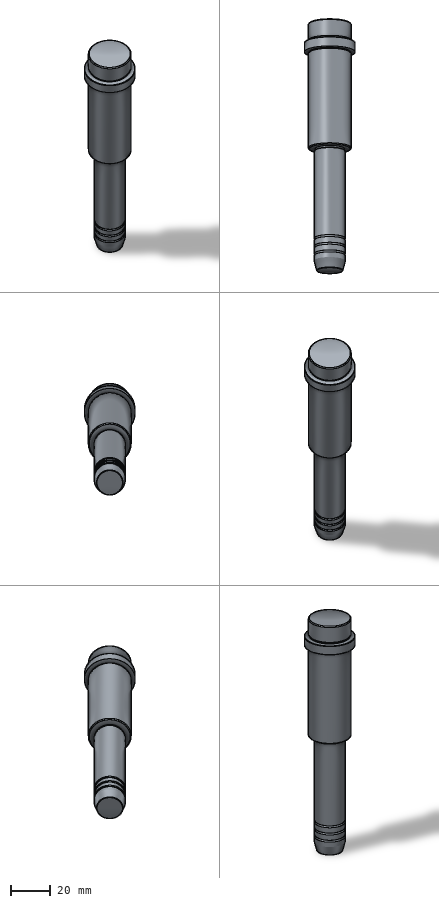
import cadquery as cq

length = 130.0
body_diameter = 22.0
body_radius = body_diameter / 2
stem_diameter = 16.0
stem_radius = stem_diameter / 2
edge_chamfer = 0.5

collar_radius = 13.0
collar_bottom = 115.0
collar_height = 5.0
collar_top = collar_bottom + collar_height
collar_chamfer = 0.3

undercut_depth = 0.6
lower_undercut_height = 0.8
upper_undercut_height = 1.2
body_bottom = 64.1
neck_depth = 0.5
neck_radius = stem_radius - neck_depth
neck_height = 1.3
neck_taper = 0.4

tip_radius = 6.8
taper_height = 5.1
tip_chamfer = 0.3

groove_count = 3
lowest_groove = 8.5
groove_pitch = 4.0
groove_width = 1.0
groove_depth = 0.4


def make_pin():
    """Revolve the stem, body and collar as one half profile."""
    undercut_radius = body_radius - undercut_depth
    neck_bottom = body_bottom - neck_height
    profile = [
        (0, 0),
        (tip_radius - tip_chamfer, 0),
        (tip_radius, tip_chamfer),
        (stem_radius, taper_height),
        (stem_radius, neck_bottom),
        (neck_radius, neck_bottom + neck_taper),
        (neck_radius, body_bottom),
        (body_radius - edge_chamfer, body_bottom),
        (body_radius, body_bottom + edge_chamfer),
        (body_radius, collar_bottom - lower_undercut_height),
        (undercut_radius, collar_bottom - lower_undercut_height / 2),
        (undercut_radius, collar_bottom),
        (collar_radius, collar_bottom),
        (collar_radius, collar_top - collar_chamfer),
        (collar_radius - collar_chamfer, collar_top),
        (undercut_radius, collar_top),
        (undercut_radius, collar_top + upper_undercut_height / 2),
        (body_radius, collar_top + upper_undercut_height),
        (body_radius, length - edge_chamfer),
        (body_radius - edge_chamfer, length),
        (0, length),
    ]
    return cq.Workplane("XZ").polyline(profile).close().revolve(360, (0, 0), (0, 1))


def make_groove(center_z):
    """Ring that cuts one groove with an arc-shaped floor."""
    half_width = groove_width / 2
    outer_radius = stem_radius + groove_depth
    return (
        cq.Workplane("XZ")
        .moveTo(outer_radius, center_z - half_width)
        .lineTo(stem_radius, center_z - half_width)
        .threePointArc(
            (stem_radius - groove_depth, center_z),
            (stem_radius, center_z + half_width),
        )
        .lineTo(outer_radius, center_z + half_width)
        .close()
        .revolve(360, (0, 0), (0, 1))
    )


result = make_pin()
for index in range(groove_count):
    result = result.cut(make_groove(lowest_groove + index * groove_pitch))